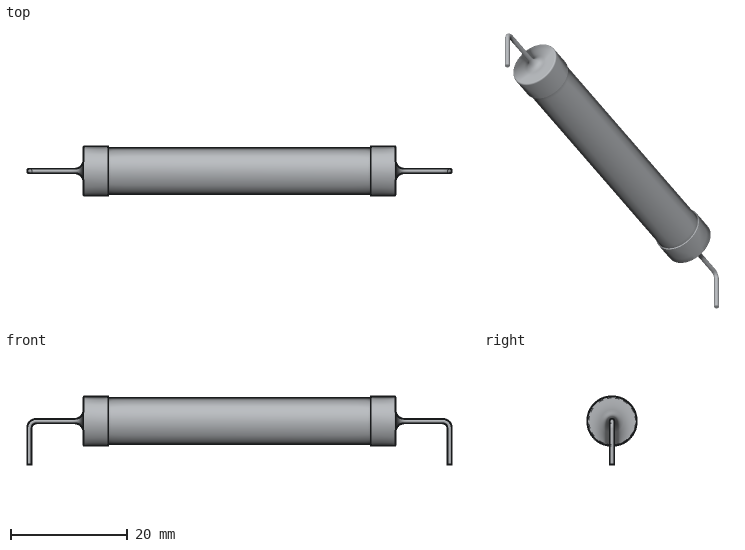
import cadquery as cq


overall_length = 72.7
core_diameter = 8.0
core_length = 45.0
cap_diameter = 8.5
cap_length = 4.2
cap_edge_radius = 0.25
wire_diameter = 0.8
bend_radius = 1.2
root_fillet_radius = 1.5
wire_tip_depth = 7.45

cap_inner_x = core_length / 2
cap_outer_x = cap_inner_x + cap_length
wire_leg_x = (overall_length - wire_diameter) / 2
bend_start_x = wire_leg_x - bend_radius


def make_core():
    """Plain cylinder centred on the origin."""
    return (
        cq.Workplane("YZ", origin=(-core_length / 2, 0, 0))
        .circle(core_diameter / 2)
        .extrude(core_length)
    )


def make_wire():
    """Round wire leaving the cap face along +X and turning down through 90 degrees."""
    path = (
        cq.Workplane("XZ")
        .moveTo(cap_outer_x, 0)
        .lineTo(bend_start_x, 0)
        .tangentArcPoint((wire_leg_x, -bend_radius), relative=False)
        .lineTo(wire_leg_x, -wire_tip_depth)
    )
    return (
        cq.Workplane("YZ", origin=(cap_outer_x, 0, 0))
        .circle(wire_diameter / 2)
        .sweep(path)
    )


def make_root_flare():
    """Concave flare that blends the cap face into the wire."""
    wire_radius = wire_diameter / 2
    flare_radius = wire_radius + root_fillet_radius
    flare_end_x = cap_outer_x + root_fillet_radius
    return (
        cq.Workplane("XY")
        .moveTo(cap_outer_x, 0)
        .lineTo(cap_outer_x, flare_radius)
        .radiusArc((flare_end_x, wire_radius), -root_fillet_radius)
        .lineTo(flare_end_x, 0)
        .close()
        .revolve(360, (0, 0, 0), (1, 0, 0))
    )


def make_end_cap():
    """Cap at the +X end, in one piece with its flare and wire lead."""
    cap = (
        cq.Workplane("YZ", origin=(cap_inner_x, 0, 0))
        .circle(cap_diameter / 2)
        .extrude(cap_length)
        .faces(">X")
        .edges()
        .fillet(cap_edge_radius)
    )
    return cap.union(make_root_flare()).union(make_wire())


core = make_core()
end_caps = []
for turn in (0, 180):
    end_caps.append(make_end_cap().rotate((0, 0, 0), (0, 0, 1), turn))

result = cq.Compound.makeCompound([core.val(), *[cap.val() for cap in end_caps]])